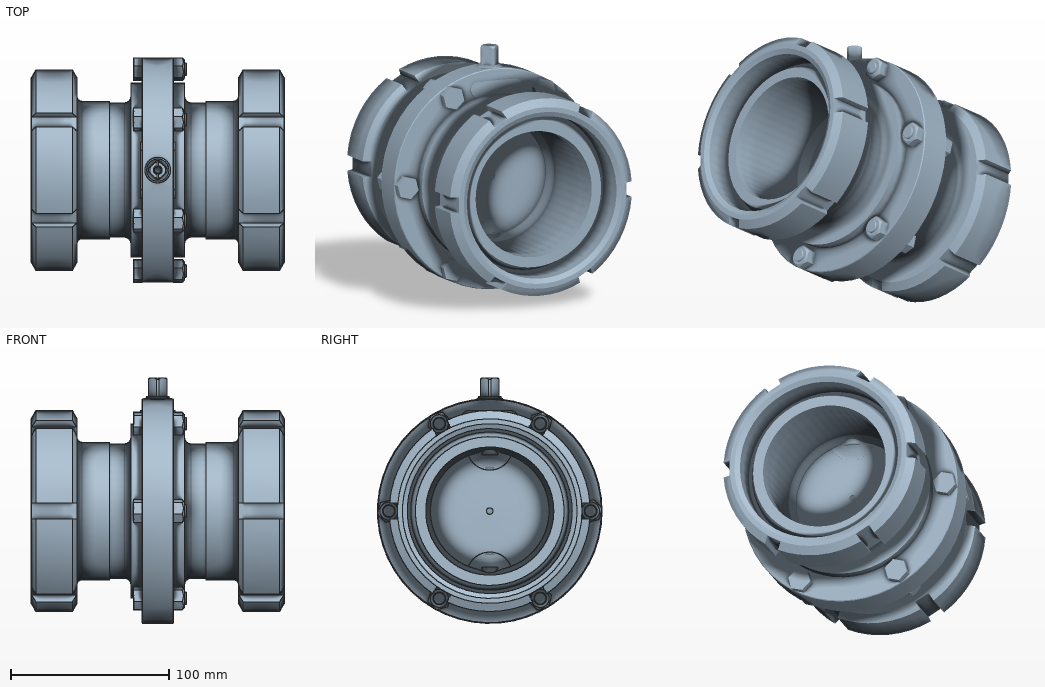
import cadquery as cq
import math


END_X = 80.0
BORE_R = 81.0 / 2
TUBE_R = 85.0 / 2
SLEEVE_R = 87.0 / 2
SLEEVE_START_X = 30.5
SLEEVE_FILLET_R = 3.0
FLANGE_FILLET_R = 4.0
COLLAR_R = 50.0
COLLAR_OVERLAP = 1.0
NOSE_R = 94.0 / 2
NOSE_FACE_X = 66.2
COLLAR_SEAT_X = 58.5

NUT_R = 127.0 / 2
NUT_LENGTH = 29.0
NUT_CHAMFER = 3.0
NUT_CHAMFER_DEPTH = 5.2
NUT_THREAD_R = 104.29 / 2
NUT_MOUTH_R = 110.4 / 2
NUT_MOUTH_DEPTH = 1.8
NUT_SLOT_WIDTH = 10.0
NUT_SLOT_FLOOR_R = 58.4

BODY_R = 71.0
BODY_HALF_WIDTH = 10.0
BODY_CHAMFER = 0.5
FLANGE_R = 110.0 / 2
FLANGE_X = 17.0

PAD_HEIGHT = 0.9
PAD_END_R = 5.0
PAD_END_Y = 12.9
PAD_END_Z = 58.6

SEAT_R = 37.5
SEAT_BACKING = 1.0
SEAT_HALF_WIDTH = 4.0
DISC_EDGE_HALF = 3.0
DISC_CENTRE_HALF = 4.0
DISC_DIMPLE_R = 4.13 / 2
DISC_DIMPLE_DEPTH = 1.0
HUB_R = 14.5
HUB_CENTRE_Z = 40.4
HUB_BASE_X = 3.35
HUB_TIP_X = 5.8
HUB_TIP_R = 4.9
HUB_FLARE_R = 14.0
SHAFT_R = 14.0 / 2
SHAFT_END_Z = 35.5
SHAFT_END_FILLET_R = 0.5

FASTENER_COUNT = 6
FASTENER_STEP = 360.0 / FASTENER_COUNT
BOLT_CIRCLE_R = 127.5 / 2
HEX_CORNER_DIAMETER = 15.0
HEX_TURN = 15.0
HEAD_HEIGHT = 5.3
HEX_NUT_HEIGHT = 6.8
HEX_NUT_FACE_R = 11.4 / 2
HEX_NUT_CONE_HEIGHT = 1.4
BOLT_R = 8.0 / 2
BOLT_TIP_R = 7.2 / 2
BOLT_TIP_X = 18.2

STEM_TOP_Z = 84.2
STEM_SQUARE = 9.5
STEM_CORNER_R = 6.0
STEM_TOP_CHAMFER = 1.0
STEM_COLLAR_R = 14.0 / 2
STEM_COLLAR_TOP_Z = 72.3
STEM_SKIRT_R = 16.2 / 2
STEM_BASE_Z = 70.0
STEM_SKIRT_Z = BODY_R
STEM_SKIRT_TOP_Z = 71.5
STEM_HOLE_R = 4.13 / 2
STEM_SINK_R = 2.8
STEM_HOLE_DEPTH = 8.0
STEM_DRILL_TIP_ANGLE = 118.0
STEM_MARK_WIDTH = 1.0
STEM_MARK_DEPTH = 0.6


def both_sides(solid):
    """The solid together with its mirror image across X = 0."""
    return solid.union(solid.mirror("YZ"))


def revolve_about_x(outline):
    """Turn a closed (X, radius) outline around the X axis."""
    return outline.close().revolve(360, (0, 0, 0), (1, 0, 0))


def ring(inner_r, outer_r, x_start, x_end):
    outline = cq.Workplane("XY").moveTo(x_start, inner_r).lineTo(x_end, inner_r)
    return revolve_about_x(outline.lineTo(x_end, outer_r).lineTo(x_start, outer_r))


def make_pipe_end():
    nut_back_x = END_X - NUT_LENGTH
    collar_back_x = nut_back_x + COLLAR_OVERLAP
    flare_start_x = nut_back_x - SLEEVE_FILLET_R
    fillet_end_x = FLANGE_X + FLANGE_FILLET_R
    arc_middle = 1 - math.sqrt(0.5)
    outline = (
        cq.Workplane("XY")
        .moveTo(BODY_HALF_WIDTH, BORE_R)
        .lineTo(BODY_HALF_WIDTH, FLANGE_R)
        .lineTo(FLANGE_X, FLANGE_R)
        .lineTo(FLANGE_X, TUBE_R + FLANGE_FILLET_R)
        .threePointArc(
            (FLANGE_X + FLANGE_FILLET_R * arc_middle, TUBE_R + FLANGE_FILLET_R * arc_middle),
            (fillet_end_x, TUBE_R),
        )
        .lineTo(SLEEVE_START_X, TUBE_R)
        .lineTo(SLEEVE_START_X, SLEEVE_R)
        .lineTo(flare_start_x, SLEEVE_R)
        .threePointArc(
            (nut_back_x - SLEEVE_FILLET_R * arc_middle, SLEEVE_R + SLEEVE_FILLET_R * arc_middle),
            (nut_back_x, SLEEVE_R + SLEEVE_FILLET_R),
        )
        .lineTo(collar_back_x, SLEEVE_R + SLEEVE_FILLET_R)
        .lineTo(collar_back_x, COLLAR_R)
        .lineTo(COLLAR_SEAT_X, COLLAR_R)
        .lineTo(NOSE_FACE_X, NOSE_R)
        .lineTo(NOSE_FACE_X, BORE_R)
    )
    return revolve_about_x(outline)


def make_union_nut():
    back_x = END_X - NUT_LENGTH
    face_r = NUT_R - NUT_CHAMFER_DEPTH
    outline = (
        cq.Workplane("XY")
        .moveTo(back_x, SLEEVE_R)
        .lineTo(back_x, face_r)
        .lineTo(back_x + NUT_CHAMFER, NUT_R)
        .lineTo(END_X - NUT_CHAMFER, NUT_R)
        .lineTo(END_X, face_r)
        .lineTo(END_X, NUT_MOUTH_R)
        .lineTo(END_X - NUT_MOUTH_DEPTH, NUT_THREAD_R)
        .lineTo(COLLAR_SEAT_X, NUT_THREAD_R)
        .lineTo(COLLAR_SEAT_X, SLEEVE_R)
    )
    nut = revolve_about_x(outline)
    slot_depth = NUT_R - NUT_SLOT_FLOOR_R
    slot = cq.Workplane("XY").box(NUT_LENGTH, 2 * slot_depth, NUT_SLOT_WIDTH)
    slot = slot.translate((back_x + NUT_LENGTH / 2, NUT_R, 0))
    for index in range(FASTENER_COUNT):
        nut = nut.cut(slot.rotate((0, 0, 0), (1, 0, 0), index * FASTENER_STEP))
    return nut


def make_body():
    body = ring(BORE_R, BODY_R, -BODY_HALF_WIDTH, BODY_HALF_WIDTH)
    outer_edges = cq.selectors.RadiusNthSelector(-1)
    return body.edges(outer_edges).chamfer(BODY_CHAMFER)


def make_label_pad():
    pad_plane = cq.Workplane("YZ", origin=(BODY_HALF_WIDTH, 0, 0))
    length = 2 * (PAD_END_Y + PAD_END_R)
    return pad_plane.center(0, PAD_END_Z).slot2D(length, 2 * PAD_END_R).extrude(PAD_HEIGHT)


def make_seat():
    outline = (
        cq.Workplane("XY")
        .moveTo(-BODY_HALF_WIDTH, BORE_R)
        .lineTo(-SEAT_HALF_WIDTH, SEAT_R)
        .lineTo(SEAT_HALF_WIDTH, SEAT_R)
        .lineTo(BODY_HALF_WIDTH, BORE_R)
        .lineTo(BODY_HALF_WIDTH, BORE_R + SEAT_BACKING)
        .lineTo(-BODY_HALF_WIDTH, BORE_R + SEAT_BACKING)
    )
    return revolve_about_x(outline)


def make_hub_flare():
    """Concave flare that rises from the disc face towards the shaft, round about an axis along X."""
    outline = (
        cq.Workplane("XY")
        .moveTo(0, 0)
        .lineTo(0, HUB_R)
        .lineTo(HUB_BASE_X, HUB_R)
        .radiusArc((HUB_TIP_X, HUB_TIP_R), -HUB_FLARE_R)
        .lineTo(HUB_TIP_X, 0)
    )
    return revolve_about_x(outline).translate((0, 0, HUB_CENTRE_Z))


def make_shaft_end():
    plane = cq.Workplane("XY", origin=(0, 0, SHAFT_END_Z))
    shaft = plane.circle(SHAFT_R).extrude(BORE_R + SEAT_BACKING - SHAFT_END_Z)
    return shaft.faces("<Z").edges().fillet(SHAFT_END_FILLET_R)


def make_disc():
    outline = (
        cq.Workplane("XY")
        .moveTo(-DISC_CENTRE_HALF, 0)
        .lineTo(-DISC_EDGE_HALF, SEAT_R)
        .lineTo(DISC_EDGE_HALF, SEAT_R)
        .lineTo(DISC_CENTRE_HALF, 0)
    )
    disc = revolve_about_x(outline)
    disc = disc.union(both_sides(make_hub_flare())).union(make_shaft_end())
    disc = disc.union(disc.mirror("XY"))
    dimple_x = DISC_CENTRE_HALF - DISC_DIMPLE_DEPTH
    dimple = cq.Workplane("YZ", origin=(dimple_x, 0, 0)).circle(DISC_DIMPLE_R).extrude(DISC_CENTRE_HALF)
    return disc.cut(both_sides(dimple))


def hexagon(x_start, height):
    prism = cq.Workplane("YZ", origin=(x_start, 0, 0)).polygon(6, HEX_CORNER_DIAMETER).extrude(height)
    return prism.rotate((0, 0, 0), (1, 0, 0), HEX_TURN)


def make_bolt():
    """One bolt on the X axis: head on the -X side, chamfered nut and bolt end on the +X side."""
    head = hexagon(-BODY_HALF_WIDTH - HEAD_HEIGHT, HEAD_HEIGHT)
    nut_end_x = BODY_HALF_WIDTH + HEX_NUT_HEIGHT
    corner_r = HEX_CORNER_DIAMETER / 2
    envelope = (
        cq.Workplane("XY")
        .moveTo(BODY_HALF_WIDTH, 0)
        .lineTo(BODY_HALF_WIDTH, corner_r)
        .lineTo(nut_end_x - HEX_NUT_CONE_HEIGHT, corner_r)
        .lineTo(nut_end_x, HEX_NUT_FACE_R)
        .lineTo(nut_end_x, 0)
    )
    nut = hexagon(BODY_HALF_WIDTH, HEX_NUT_HEIGHT).intersect(revolve_about_x(envelope))
    shank_length = BOLT_TIP_X - BODY_HALF_WIDTH
    shank = cq.Workplane("YZ", origin=(BODY_HALF_WIDTH, 0, 0)).circle(BOLT_R).extrude(shank_length)
    shank = shank.faces(">X").chamfer(BOLT_R - BOLT_TIP_R)
    return head.union(nut).union(shank)


def make_stem():
    base_z = STEM_BASE_Z
    length = STEM_TOP_Z - base_z
    plane = cq.Workplane("XY", origin=(0, 0, base_z))
    square = plane.rect(STEM_SQUARE, STEM_SQUARE).extrude(length).rotate((0, 0, 0), (0, 0, 1), 45)
    turned = plane.circle(STEM_CORNER_R).extrude(length).faces(">Z").chamfer(STEM_TOP_CHAMFER)
    stem = square.intersect(turned)
    collar = (
        cq.Workplane("XZ")
        .moveTo(0, base_z)
        .lineTo(STEM_SKIRT_R, base_z)
        .lineTo(STEM_SKIRT_R, STEM_SKIRT_Z)
        .lineTo(STEM_COLLAR_R, STEM_SKIRT_TOP_Z)
        .lineTo(STEM_COLLAR_R, STEM_COLLAR_TOP_Z)
        .lineTo(0, STEM_COLLAR_TOP_Z)
        .close()
        .revolve(360, (0, 0, 0), (0, 1, 0))
    )
    sink_depth = STEM_SINK_R - STEM_HOLE_R
    hole_end_z = STEM_TOP_Z - STEM_HOLE_DEPTH
    drill_tip_depth = STEM_HOLE_R / math.tan(math.radians(STEM_DRILL_TIP_ANGLE / 2))
    hole = (
        cq.Workplane("XZ")
        .moveTo(0, STEM_TOP_Z)
        .lineTo(STEM_SINK_R, STEM_TOP_Z)
        .lineTo(STEM_HOLE_R, STEM_TOP_Z - sink_depth)
        .lineTo(STEM_HOLE_R, hole_end_z)
        .lineTo(0, hole_end_z - drill_tip_depth)
        .close()
        .revolve(360, (0, 0, 0), (0, 1, 0))
    )
    mark = cq.Workplane("XY").box(STEM_MARK_WIDTH, 2 * STEM_SQUARE, 2 * STEM_MARK_DEPTH)
    return stem.union(collar).cut(mark.translate((0, 0, STEM_TOP_Z))).cut(hole)


side = make_pipe_end().union(make_union_nut()).union(make_label_pad())
result = make_body().union(both_sides(side)).union(make_seat()).union(make_disc()).union(make_stem())

bolt = make_bolt()
for index in range(FASTENER_COUNT):
    angle = index * FASTENER_STEP
    bolt_y = BOLT_CIRCLE_R * math.cos(math.radians(angle))
    bolt_z = BOLT_CIRCLE_R * math.sin(math.radians(angle))
    result = result.union(bolt.translate((0, bolt_y, bolt_z)))